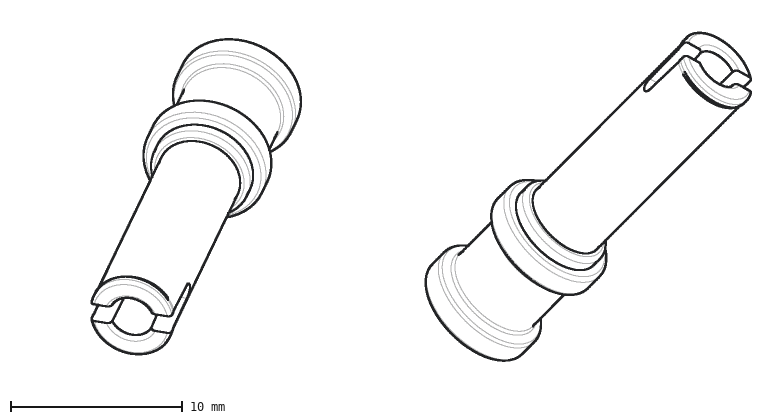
import cadquery as cq
import math

length = 23.75

flange_radius = 3.7
neck_radius = 3.0
head_flange_start = 21.83
head_flange_shoulder = 22.2
middle_flange_start = 15.75
middle_flange_shoulder = 17.27
middle_flange_end = 17.65
flange_fillet = 0.24
neck_fillet = 0.24
collar_start = 14.82
collar_fillet = 0.28

shank_radius = 2.47
bore_radius = 1.19
bore_mouth_radius = 1.33
bore_mouth_fillet = 0.25
bore_depth = 5.7
bore_floor_fillet = 0.48

slot_depth = 3.97
slot_root_radius = 0.48
slot_mouth_half_width = 0.6

lip_length = 0.74
lip_shift = 0.15
lip_blend_length = 0.24
lip_tip_fillet = 0.21


def revolve_profile(points):
    """Revolve a closed (radius, Y) outline about the Y axis."""
    return cq.Workplane("XY").polyline(points).close().revolve(360, (0, 0, 0), (0, 1, 0))


def circle_edges(y, radius):
    """Select the circular edges of a revolved body at a given Y and radius."""
    def box_around(size):
        return cq.selectors.BoxSelector((-size, y - tolerance, -size), (size, y + tolerance, size), True)

    tolerance = 0.002
    return box_around(radius + tolerance) - box_around(radius - tolerance)


def make_head():
    head = revolve_profile([
        (0, collar_start),
        (neck_radius, collar_start),
        (neck_radius, middle_flange_start),
        (flange_radius, middle_flange_start),
        (flange_radius, middle_flange_shoulder),
        (neck_radius, middle_flange_end),
        (neck_radius, head_flange_start),
        (flange_radius, head_flange_shoulder),
        (flange_radius, length),
        (0, length),
    ])
    for y in (middle_flange_start, middle_flange_shoulder, head_flange_shoulder, length):
        head = head.edges(circle_edges(y, flange_radius)).fillet(flange_fillet)
    for y in (middle_flange_end, head_flange_start):
        head = head.edges(circle_edges(y, neck_radius)).fillet(neck_fillet)
    return head.edges(circle_edges(collar_start, neck_radius)).fillet(collar_fillet)


def make_shank():
    return revolve_profile([
        (0, lip_length),
        (shank_radius, lip_length),
        (shank_radius, collar_start),
        (0, collar_start),
    ])


def make_lip(side):
    """Lip disc shifted up (side = 1) or down (side = -1), kept on its own half."""
    disc_thickness = lip_length - lip_blend_length
    disc = revolve_profile([
        (0, 0),
        (shank_radius, 0),
        (shank_radius, disc_thickness),
        (0, disc_thickness),
    ])
    disc = disc.faces("<Y").edges().fillet(lip_tip_fillet)
    disc = disc.translate((0, 0, side * lip_shift))
    blend = (
        cq.Workplane("XZ", origin=(0, lip_length, 0))
        .circle(shank_radius)
        .workplane(offset=lip_blend_length)
        .center(0, side * lip_shift)
        .circle(shank_radius)
        .loft(ruled=True)
    )
    half_size = 2 * shank_radius
    half = cq.Workplane("XY").box(half_size * 2, half_size, half_size)
    half = half.translate((0, 0, side * half_size / 2))
    return disc.union(blend).intersect(half)


def make_bore():
    bore = revolve_profile([
        (0, 0),
        (bore_mouth_radius, 0),
        (bore_radius, slot_depth),
        (bore_radius, bore_depth),
        (0, bore_depth),
    ])
    bore = bore.faces(">Y").edges().fillet(bore_floor_fillet)
    flare_radius = bore_mouth_radius + bore_mouth_fillet
    bend = bore_mouth_fillet * (1 - math.sqrt(0.5))
    flare = (
        cq.Workplane("XY")
        .lineTo(flare_radius, 0)
        .threePointArc((bore_mouth_radius + bend, bend), (bore_mouth_radius, bore_mouth_fillet))
        .lineTo(0, bore_mouth_fillet)
        .close()
        .revolve(360, (0, 0, 0), (0, 1, 0))
    )
    return bore.union(flare)


def make_slot():
    root_center = slot_depth - slot_root_radius
    return (
        cq.Workplane("YZ")
        .moveTo(0, -slot_mouth_half_width)
        .lineTo(root_center, -slot_root_radius)
        .threePointArc((slot_depth, 0), (root_center, slot_root_radius))
        .lineTo(0, slot_mouth_half_width)
        .close()
        .extrude(2 * shank_radius, both=True)
    )


body = make_head().union(make_shank())
for prong_side in (1, -1):
    body = body.union(make_lip(prong_side))
result = body.cut(make_bore()).cut(make_slot())